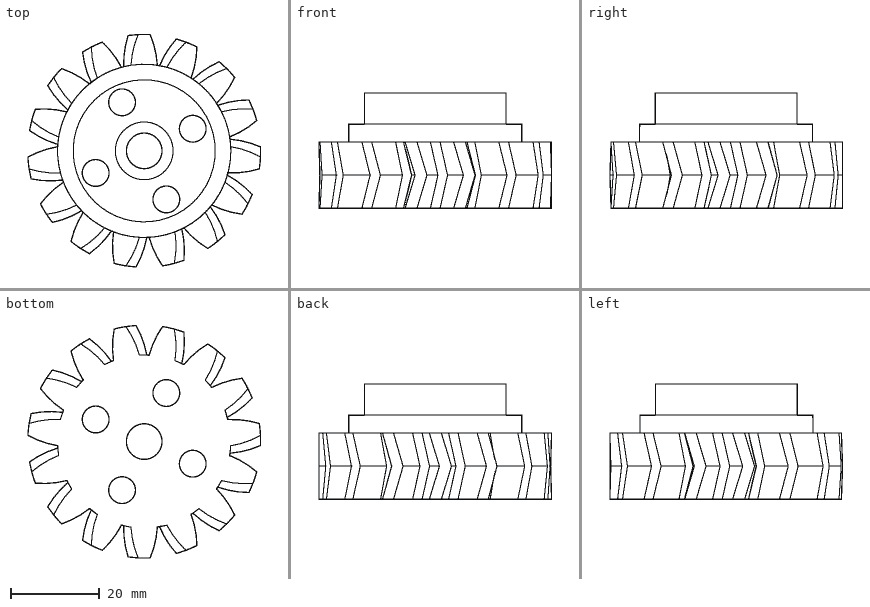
import cadquery as cq
import math

tooth_count = 15
tip_diameter = 52.5
root_diameter = 39.05
gear_width = 15.0
half_width = gear_width / 2
herringbone_twist = 5.0

overshoot = 0.5
outer_half_angle = 2.4
middle_half_angle = 6.0
root_half_angle = 8.8
half_pitch_angle = 180 / tooth_count
first_gap_angle = 90.0 + half_pitch_angle

flange_diameter = root_diameter
flange_height = 4.0
boss_diameter = 32.0
boss_height = 7.05
total_height = gear_width + flange_height + boss_height

bore_diameter = 8.0
counterbore_diameter = 13.0
counterbore_depth = flange_height + boss_height
bolt_hole_count = 4
bolt_hole_diameter = 6.0
bolt_circle_diameter = 24.05
first_bolt_angle = 24.5


def polar(radius, degrees):
    angle = math.radians(degrees)
    return (radius * math.cos(angle), radius * math.sin(angle))


def gap_section(center):
    """Closed section of one tooth gap with its center line at the given angle."""
    root_radius = root_diameter / 2
    outer_radius = tip_diameter / 2 + overshoot
    middle_radius = (root_radius + outer_radius) / 2
    root_gap = half_pitch_angle - root_half_angle
    middle_gap = half_pitch_angle - middle_half_angle
    outer_gap = half_pitch_angle - outer_half_angle
    return (
        cq.Workplane("XY")
        .moveTo(*polar(root_radius, center - root_gap))
        .threePointArc(
            polar(middle_radius, center - middle_gap),
            polar(outer_radius, center - outer_gap),
        )
        .lineTo(*polar(outer_radius, center + outer_gap))
        .threePointArc(
            polar(middle_radius, center + middle_gap),
            polar(root_radius, center + root_gap),
        )
        .close()
    )


def herringbone_gap():
    """Two opposite helical halves that meet at the mid-plane."""
    lower_half = gap_section(first_gap_angle).twistExtrude(half_width, herringbone_twist)
    upper_half = lower_half.mirror("XY", (0, 0, half_width))
    return lower_half.union(upper_half)


def herringbone_gear():
    """Tip cylinder with evenly spaced gaps cut between the teeth."""
    gear = cq.Workplane("XY").circle(tip_diameter / 2).extrude(gear_width)
    gap = herringbone_gap()
    for index in range(tooth_count):
        turn = index * 2 * half_pitch_angle
        gear = gear.cut(gap.rotate((0, 0, 0), (0, 0, 1), turn))
    return gear


def hub():
    """Flange and smaller boss stacked on the gear."""
    flange = (
        cq.Workplane("XY")
        .workplane(offset=gear_width)
        .circle(flange_diameter / 2)
        .extrude(flange_height)
    )
    return flange.faces(">Z").workplane().circle(boss_diameter / 2).extrude(boss_height)


def holes():
    """Stepped center bore and the ring of through holes."""
    bore = cq.Workplane("XY").circle(bore_diameter / 2).extrude(total_height)
    counterbore = (
        cq.Workplane("XY")
        .workplane(offset=total_height - counterbore_depth)
        .circle(counterbore_diameter / 2)
        .extrude(counterbore_depth)
    )
    bolt_holes = (
        cq.Workplane("XY")
        .polarArray(bolt_circle_diameter / 2, first_bolt_angle, 360, bolt_hole_count)
        .circle(bolt_hole_diameter / 2)
        .extrude(total_height)
    )
    return bore.union(counterbore).union(bolt_holes)


result = herringbone_gear().union(hub()).cut(holes())